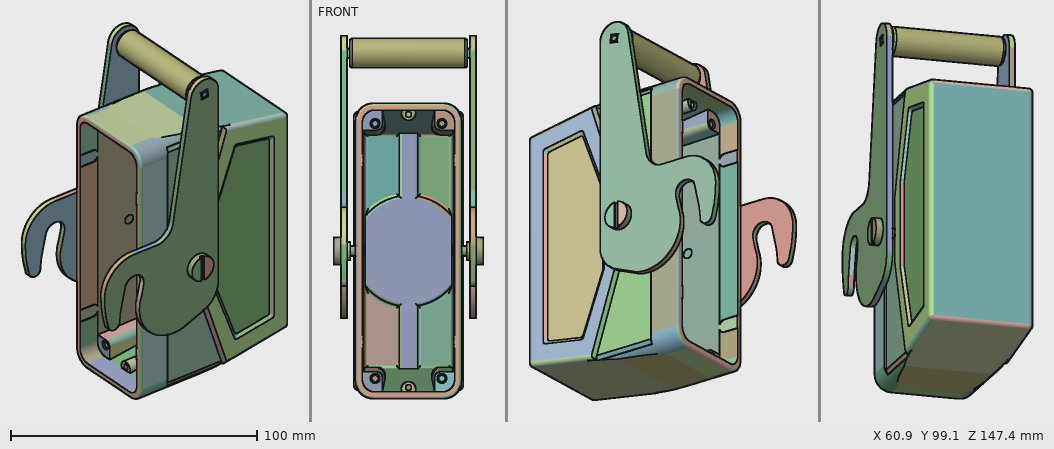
import cadquery as cq
import math


depth = 75.8
half_height = 60.0
front_half_width = 21.5
back_half_width = 22.3
front_corner_radius = 7.2
end_flat_depth = 11.2
end_bend_depth = 32.4
end_bend_height = 58.2
end_taper = 9.6
back_edge_radius = 1.9
rim_radius = 1.0
past = 14.7

recess_half_width = 21.0
recess_front = 14.3
shoulder_y = 28.3
shoulder_half_height = 14.0
shoulder_slope = 0.33
recess_wall_angle = 50.0
bevel_start_z = 54.8
bevel_end_z = 56.7
bevel_end_x = 20.2

panel_depth = 1.2
panel_back = 68.0
panel_front = 37.0
panel_knee_z = 17.7
panel_top_y = 47.9
panel_top_z = 46.6
panel_corner_radius = 2.4
panel_wall_angle = 52.0

mouth_wall = 2.8
floor_half_height = 47.5
cavity_depth = 72.8
mouth_depth = 9.0
mouth_half_width = 18.7
inner_half_width = 18.4
floor_half_width = 17.5
mouth_corner_radius = 5.0
floor_radius = 1.2

pad_z = 36.8
pad_width = 5.6
pad_height = mouth_half_width - inner_half_width
pad_tip_y = 9.3

raised_height = 2.5
disc_radius = 22.5
strip_half_width = 3.8
raised_edge_radius = 1.2

boss_inner_x = 10.6
boss_inner_z = 49.1
boss_corner_radius = 2.4
boss_draft = 1.8
screw_x = 13.5
screw_z = 51.7
screw_hole_radius = 1.3
screw_lead_in = 0.6
screw_hole_depth = 17.7
rib_z = 56.0
rib_radius = 3.0
rib_hole_z = 55.4
rib_hole_radius = 1.2
rib_hole_depth = 8.8

arm_front_tilt = 9.1
hook_top_z = 17.8
hook_radius = 15.2
hook_front_y = -23.3
arm_hook_y = 4.7
arm_foot_z = -10.9
pivot_y = 24.9
plate_inner_x = 24.9
plate_outer_x = 27.4
head_outer_x = 30.44
head_radius = 5.6
head_slot_width = 1.6
head_slot_depth = 1.0
collar_inner_x = 23.6
collar_radius = 3.76
pin_radius = 2.0
pin_end_x = 18.3

handle_y = 28.2
handle_z = 80.3
arm_radius = 7.1
handle_radius = 6.0
handle_half_length = 23.9
handle_chamfer_length = 1.0
handle_chamfer_drop = 0.6
peg_side = 3.5
peg_tilt = 8.0
peg_recess_depth = 0.6
rivet_radius = 1.3


def end_height(y):
    """Outer half height of the fully tapered stretch of the end walls."""
    return end_bend_height - (y - end_bend_depth) * math.tan(math.radians(end_taper))


def end_profile():
    """Prism with the side outline of the housing."""
    back_height = end_height(depth)
    return (
        cq.Workplane("YZ")
        .polyline([
            (0, -half_height),
            (end_flat_depth, -half_height),
            (end_bend_depth, -end_bend_height),
            (depth, -back_height),
            (depth, back_height),
            (end_bend_depth, end_bend_height),
            (end_flat_depth, half_height),
            (0, half_height),
        ])
        .close()
        .extrude(back_half_width, both=True)
    )


def rounded_bar(half_width, half_z, radius, length):
    """Rounded rectangle in XZ running back from the mating face."""
    return (
        cq.Workplane("XZ")
        .rect(2 * half_width, 2 * half_z)
        .extrude(-length)
        .edges("|Y")
        .fillet(radius)
    )


def rod(radius, x_start, x_end, y, z):
    """Round bar along X."""
    return cq.Workplane("YZ", origin=(x_start, y, z)).circle(radius).extrude(x_end - x_start)


def both_sides(shape):
    """The shape together with its mirror image in X."""
    return shape.union(shape.mirror("YZ"))


def shoulder_points(front_y):
    """Outline from front_y back to the foot of the shoulder, running past both ends."""
    far_z = half_height + past
    far_y = shoulder_y + (far_z - shoulder_half_height) * shoulder_slope
    return [
        (front_y, -far_z),
        (far_y, -far_z),
        (shoulder_y, -shoulder_half_height),
        (shoulder_y, shoulder_half_height),
        (far_y, far_z),
        (front_y, far_z),
    ]


def housing_shell():
    front_length = depth - 2 * past
    front = rounded_bar(front_half_width, half_height, front_corner_radius, front_length)
    front = front.faces("<Y").edges().fillet(rim_radius)
    front = front.intersect(end_profile())

    back_start = recess_front
    back_top = end_height(back_start)
    back_end = end_height(depth)
    back = (
        cq.Workplane("YZ")
        .polyline([(back_start, -back_top), (depth, -back_end), (depth, back_end), (back_start, back_top)])
        .close()
        .extrude(back_half_width, both=True)
        .faces(">Y or >Z or <Z")
        .edges("not <Y")
        .fillet(back_edge_radius)
    )
    ahead_of_shoulder = (
        cq.Workplane("YZ")
        .polyline(shoulder_points(-past))
        .close()
        .extrude(back_half_width + past, both=True)
    )
    return front.union(back.cut(ahead_of_shoulder))


def lever_recess():
    """Flat-floored recess with sloped walls, open at both ends."""
    recess = (
        cq.Workplane("YZ", origin=(recess_half_width, 0, 0))
        .polyline(shoulder_points(recess_front))
        .close()
        .extrude(past / 2, taper=-recess_wall_angle)
    )
    far = half_height + past
    section = [
        (bevel_end_x, bevel_end_z),
        (recess_half_width, bevel_start_z),
        (far, bevel_start_z),
        (far, far),
        (bevel_end_x, far),
    ]
    bevel = cq.Workplane("XZ").polyline(section).close().extrude(-depth)
    bevel = bevel.union(bevel.mirror("XY"))
    ahead_of_shoulder = cq.Workplane("YZ").polyline(shoulder_points(recess_front)).close().extrude(2 * far)
    return both_sides(recess.union(bevel.intersect(ahead_of_shoulder)))


def side_panel():
    """Shallow recessed panel with sloped walls."""
    panel_back_z = panel_top_z - (panel_back - panel_top_y) * math.tan(math.radians(end_taper))
    outline = [
        (panel_back, -panel_back_z),
        (panel_back, panel_back_z),
        (panel_top_y, panel_top_z),
        (panel_front, panel_knee_z),
        (panel_front, -panel_knee_z),
        (panel_top_y, -panel_top_z),
    ]
    panel = (
        cq.Workplane("YZ", origin=(back_half_width, 0, 0))
        .polyline(outline)
        .close()
        .extrude(-panel_depth, taper=panel_wall_angle)
        .edges("not #X")
        .fillet(panel_corner_radius)
    )
    return both_sides(panel)


def raised_floor():
    """Disc crossed by an upright strip on the cavity floor."""
    disc = cq.Workplane("XZ").circle(disc_radius).extrude(-raised_height)
    strip = cq.Workplane("XZ").rect(2 * strip_half_width, 2 * half_height).extrude(-raised_height)
    raised = disc.union(strip).faces("<Y").edges().fillet(raised_edge_radius)
    return raised.translate((0, cavity_depth - raised_height, 0))


def corner_boss(side, end):
    """Drafted boss filling one corner of the cavity behind the mouth."""
    size_x = front_half_width - boss_inner_x
    size_z = half_height - boss_inner_z
    center_x = side * (boss_inner_x + size_x / 2)
    center_z = end * (boss_inner_z + size_z / 2)
    return (
        cq.Workplane("XZ", origin=(center_x, mouth_depth, center_z))
        .sketch()
        .rect(size_x, size_z)
        .vertices()
        .fillet(boss_corner_radius)
        .finalize()
        .extrude(-(depth - mouth_depth), taper=-boss_draft)
    )


def wedge(plane, front_half, back_half, half_length):
    """Prism that narrows evenly from the back of the mouth to the cavity floor."""
    return (
        cq.Workplane(plane)
        .polyline([
            (mouth_depth, -front_half),
            (cavity_depth, -back_half),
            (cavity_depth, back_half),
            (mouth_depth, front_half),
        ])
        .close()
        .extrude(half_length, both=True)
    )


def mouth_pad(side, end):
    """Low pad with a rounded tip on one side wall of the mouth."""
    radius = pad_width / 2
    size_x = mouth_wall + pad_height
    center_x = side * (mouth_half_width - pad_height + size_x / 2)
    tip_center_y = pad_tip_y - radius
    bar = cq.Workplane("XY").box(size_x, tip_center_y, pad_width)
    bar = bar.translate((center_x, tip_center_y / 2, end * pad_z))
    tip = rod(radius, center_x - size_x / 2, center_x + size_x / 2, tip_center_y, end * pad_z)
    return bar.union(tip)


def cavity():
    mouth_half_height = half_height - mouth_wall
    mouth = rounded_bar(mouth_half_width, mouth_half_height, mouth_corner_radius, mouth_depth)
    space = wedge("YZ", mouth_half_height, floor_half_height, half_height)
    space = space.intersect(wedge("YX", inner_half_width, floor_half_width, half_height))
    space = space.cut(raised_floor())
    space = space.faces(">Y").edges().fillet(floor_radius)
    space = space.union(mouth)
    for end in (-1, 1):
        rib = cq.Workplane("XZ", origin=(0, mouth_depth, end * rib_z)).circle(rib_radius).extrude(-depth)
        space = space.cut(rib)
        for side in (-1, 1):
            space = space.cut(corner_boss(side, end)).cut(mouth_pad(side, end))
    return space


def end_holes():
    """Blind holes in the bosses, with a conical lead-in, and in the key ribs."""
    screws = (
        cq.Workplane("XZ", origin=(0, mouth_depth, 0))
        .rect(2 * screw_x, 2 * screw_z, forConstruction=True)
        .vertices()
        .circle(screw_hole_radius)
        .extrude(-screw_hole_depth)
    )
    lead_in = cq.Solid.makeCone(
        screw_hole_radius + screw_lead_in, screw_hole_radius, screw_lead_in, dir=cq.Vector(0, 1, 0)
    )
    for side in (-1, 1):
        for end in (-1, 1):
            screws = screws.union(lead_in.translate(cq.Vector(side * screw_x, mouth_depth, end * screw_z)))
    keys = (
        cq.Workplane("XZ", origin=(0, mouth_depth, 0))
        .pushPoints([(0, -rib_hole_z), (0, rib_hole_z)])
        .circle(rib_hole_radius)
        .extrude(-rib_hole_depth)
    )
    return screws.union(keys)


def make_housing():
    body = housing_shell().cut(lever_recess()).cut(side_panel()).cut(cavity()).cut(end_holes())
    return body.cut(rod(pin_radius, -back_half_width, back_half_width, pivot_y, 0))


def side_plate():
    """Arm, pivot lobe and locking hook cut from one flat plate."""
    arm_back = handle_y + arm_radius
    tilt = math.radians(arm_front_tilt)
    arm_front = (handle_y - arm_radius * math.cos(tilt), handle_z + arm_radius * math.sin(tilt))
    return (
        cq.Workplane("YZ", origin=(plate_inner_x, 0, 0))
        .moveTo(arm_back, arm_foot_z)
        .lineTo(arm_back, handle_z)
        .threePointArc((handle_y, handle_z + arm_radius), arm_front)
        .lineTo(12.0, 25.0)
        .tangentArcPoint((arm_hook_y, hook_top_z), relative=False)
        .lineTo(hook_front_y + hook_radius, hook_top_z)
        .tangentArcPoint((hook_front_y, hook_top_z - hook_radius), relative=False)
        .threePointArc((-22.8, -4.9), (-21.4, -11.8))
        .threePointArc((-18.4, -14.3), (-15.5, -10.9))
        .lineTo(-15.0, -6.6)
        .lineTo(-12.7, 4.1)
        .threePointArc((-8.0, 7.7), (-3.1, 2.0))
        .lineTo(-4.3, -3.4)
        .threePointArc((-0.1, -22.1), (17.1, -26.5))
        .lineTo(27.7, -22.3)
        .tangentArcPoint((arm_back, arm_foot_z), relative=False)
        .close()
        .extrude(plate_outer_x - plate_inner_x)
    )


def pivot_screw():
    """Slotted head outside the plate, collar inside it and pin into the housing wall."""
    head = rod(head_radius, plate_outer_x, head_outer_x, pivot_y, 0)
    slot = cq.Workplane("XY").box(2 * head_slot_depth, head_slot_width, 2 * head_radius)
    head = head.cut(slot.translate((head_outer_x, pivot_y, 0)))
    collar = rod(collar_radius, collar_inner_x, plate_inner_x, pivot_y, 0)
    pin = rod(pin_radius, pin_end_x, plate_outer_x, pivot_y, 0)
    return head.union(pin).union(collar)


def square_peg(x_start, x_end):
    return (
        cq.Workplane("YZ", origin=(x_start, handle_y, handle_z))
        .transformed(rotate=(0, 0, peg_tilt))
        .rect(peg_side, peg_side)
        .extrude(x_end - x_start)
    )


def handle():
    """Roll between the plates, chamfered at its ends."""
    end_radius = handle_radius - handle_chamfer_drop
    full_half_length = handle_half_length - handle_chamfer_length
    return (
        cq.Workplane("XY")
        .polyline([
            (-handle_half_length, 0),
            (-handle_half_length, end_radius),
            (-full_half_length, handle_radius),
            (full_half_length, handle_radius),
            (handle_half_length, end_radius),
            (handle_half_length, 0),
        ])
        .close()
        .revolve(360, (0, 0, 0), (1, 0, 0))
        .translate((0, handle_y, handle_z))
    )


def make_lever():
    peg_recess_x = plate_outer_x - peg_recess_depth
    side = side_plate().cut(square_peg(peg_recess_x, plate_outer_x))
    side = side.union(rod(rivet_radius, peg_recess_x, plate_outer_x, handle_y, handle_z))
    side = side.union(square_peg(handle_half_length, plate_inner_x))
    side = side.union(pivot_screw())
    return handle().union(both_sides(side))


housing = make_housing()
lever = make_lever()

result = cq.Compound.makeCompound([housing.val(), lever.val()])